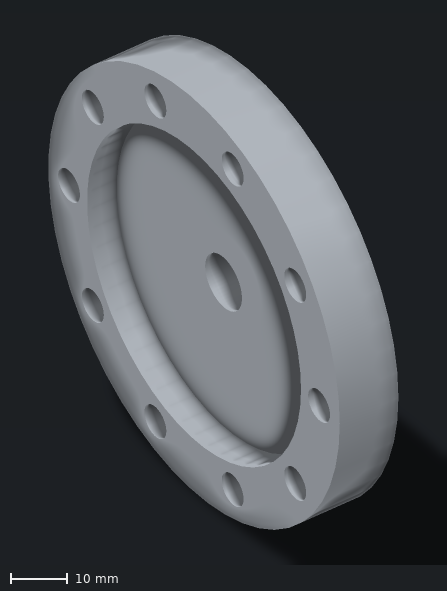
import cadquery as cq

outer_diameter = 88.9
thickness = 12.7

recess_diameter = 65.25
recess_depth = 6.4

centre_hole_diameter = 11.2
bolt_circle_diameter = 76.3
bolt_hole_diameter = 6.7
bolt_hole_count = 10


def cylinder_along_y(diameter, length):
    """Cylinder that starts on the -Y face, at Y = 0, and runs toward +Y."""
    return cq.Workplane("XZ").circle(diameter / 2).extrude(-length)


def bolt_holes():
    """Evenly spaced hole cutters, the first one on the +X axis."""
    return (
        cq.Workplane("XZ")
        .polarArray(bolt_circle_diameter / 2, 0, 360, bolt_hole_count)
        .circle(bolt_hole_diameter / 2)
        .extrude(-thickness)
    )


disc = cylinder_along_y(outer_diameter, thickness)
recess = cylinder_along_y(recess_diameter, recess_depth)
centre_hole = cylinder_along_y(centre_hole_diameter, thickness)

result = disc.cut(recess).cut(centre_hole).cut(bolt_holes())